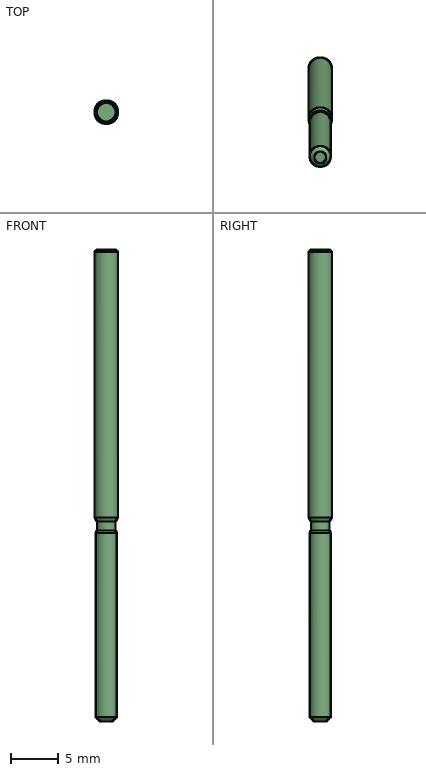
import cadquery as cq

total_length = 50.0
upper_diameter = 2.5
lower_diameter = 2.25
neck_diameter = 2.0
tip_diameter = 1.25

tip_chamfer_height = 0.5
lower_shoulder_z = 20.0
neck_bottom_z = 20.25
neck_top_z = 21.2
upper_shoulder_z = 21.65
top_chamfer = 0.25

upper_radius = upper_diameter / 2
lower_radius = lower_diameter / 2
neck_radius = neck_diameter / 2
tip_radius = tip_diameter / 2


def turned_body(profile):
    """Revolve an (r, z) outline about the Z axis, closing it along the axis."""
    bottom_z = profile[0][1]
    top_z = profile[-1][1]
    outline = [(0, bottom_z), *profile, (0, top_z)]
    return cq.Workplane("XZ").polyline(outline).close().revolve(360, (0, 0), (0, 1))


def make_lower_pin():
    """Thin shank with a chamfered tip and a necked-down upper end."""
    return turned_body([
        (tip_radius, 0),
        (lower_radius, tip_chamfer_height),
        (lower_radius, lower_shoulder_z),
        (neck_radius, neck_bottom_z),
        (neck_radius, neck_top_z),
    ])


def make_upper_shank():
    """Thick shank tapering to the neck below, chamfered on top."""
    return turned_body([
        (neck_radius, neck_top_z),
        (upper_radius, upper_shoulder_z),
        (upper_radius, total_length - top_chamfer),
        (upper_radius - top_chamfer, total_length),
    ])


lower_pin = make_lower_pin()
upper_shank = make_upper_shank()

result = cq.Compound.makeCompound([lower_pin.val(), upper_shank.val()])